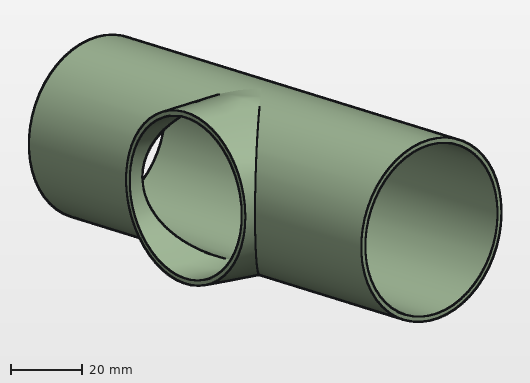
import cadquery as cq
import math

run_length = 140.0
run_diameter = 53.0
wall = 1.5
overall_depth = 56.5
mouth_diameter = 50.3

run_radius = run_diameter / 2
mouth_radius = mouth_diameter / 2
branch_reach = overall_depth - run_radius

taper_angle = math.atan2(branch_reach, mouth_radius) - math.acos(
    run_radius / math.hypot(mouth_radius, branch_reach)
)


def run_cylinder(radius):
    """Solid cylinder along X, centred on the origin."""
    return cq.Workplane("YZ").circle(radius).extrude(run_length / 2, both=True)


def branch_cone(radius):
    """Solid cone along -Y, from its tangency with a run of this radius to the mouth."""
    base_radius = radius * math.cos(taper_angle)
    base_y = -radius * math.sin(taper_angle)
    end_radius = base_radius - (branch_reach + base_y) * math.tan(taper_angle)
    return (
        cq.Workplane("XY")
        .moveTo(0, base_y)
        .lineTo(base_radius, base_y)
        .lineTo(end_radius, -branch_reach)
        .lineTo(0, -branch_reach)
        .close()
        .revolve(360, (0, 0), (0, 1))
    )


def tee(radius):
    """Solid run and branch joined together."""
    return run_cylinder(radius).union(branch_cone(radius))


result = tee(run_radius).cut(tee(run_radius - wall))